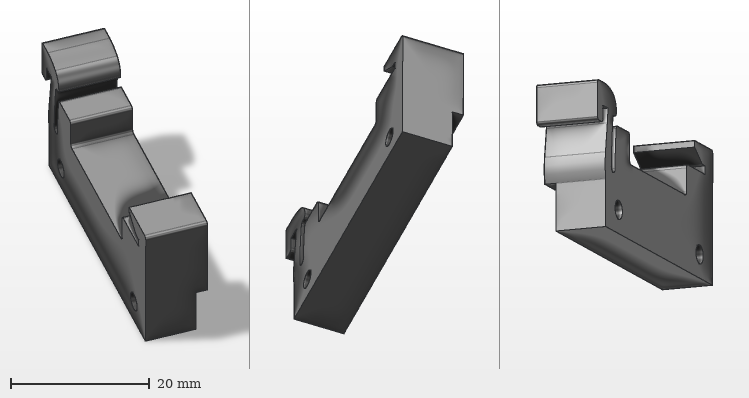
import cadquery as cq

length = 44.1
height = 21.15
width = 9.5
foot_left = 3.1
foot_right = 44.0
foot_width = 7.75
foot_height = 7.05

shoulder_z = 15.8
seat_z = 11.15
seat_left = 12.25
seat_right = 34.05
corner_radius = 0.55

jaw_top = 19.95
jaw_tip_x = 37.1
jaw_tip_z = 18.95
jaw_slope_end_x = 40.1
jaw_under_z = 17.05
jaw_root_x = 41.08

latch_flat_end = 2.55
nose_tip = (7.2, 17.9)
nose_tip_underside = (7.1, 17.4)
nose_front = (6.8, 19.32)
nose_crown_end = (5.75, 20.35)
nose_crown = (4.2, 20.9)
nose_end_x = 6.85
latch_under_z = 17.1
finger_bottom = 15.18
finger_right = 2.0
finger_roof = 17.7
finger_radius = 0.55
edge_radius = 0.45

arm_outer_top_x = 3.95
arm_outer_upper = (3.7, 15.45)
arm_outer_bend = (3.0, 11.05)
slot_left = 5.25
slot_right = 6.7
slot_center_z = 9.35
slot_radius = (slot_right - slot_left) / 2
slot_left_top_x = 5.9
slot_left_middle = (5.43, 12.8)
slot_right_top_x = 7.2
slot_right_middle = (6.8, 12.57)

hole_diameter = 2.8
hole_z = 3.55
hole_positions = [(8.07, hole_z), (39.05, hole_z)]


def extrude_back(sketch, depth):
    """Extrude an XZ outline from the front face toward +Y."""
    return sketch.extrude(-depth)


def round_edges(body, x, z, radius):
    """Round the width-wise edge at the given X and Z."""
    tolerance = 0.02
    box = cq.selectors.BoxSelector(
        (x - tolerance, -tolerance, z - tolerance),
        (x + tolerance, width + tolerance, z + tolerance),
    )
    return body.edges(box).fillet(radius)


def make_profile():
    outline = (
        cq.Workplane("XZ")
        .moveTo(foot_left, 0)
        .lineTo(foot_right, 0)
        .lineTo(length, jaw_top - corner_radius)
        .lineTo(length, jaw_top)
        .lineTo(jaw_tip_x, jaw_top)
        .lineTo(jaw_tip_x, jaw_tip_z)
        .lineTo(jaw_slope_end_x, jaw_under_z)
        .lineTo(jaw_root_x, jaw_under_z)
        .lineTo(jaw_root_x, shoulder_z)
        .lineTo(seat_right, shoulder_z)
        .lineTo(seat_right, seat_z)
        .lineTo(seat_left, seat_z)
        .lineTo(seat_left, shoulder_z)
        .lineTo(slot_right_top_x, shoulder_z)
        .threePointArc(slot_right_middle, (slot_right, slot_center_z))
        .threePointArc(
            (slot_left + slot_radius, slot_center_z - slot_radius),
            (slot_left, slot_center_z),
        )
        .threePointArc(slot_left_middle, (slot_left_top_x, latch_under_z))
        .lineTo(nose_end_x, latch_under_z)
        .threePointArc(nose_tip_underside, nose_tip)
        .threePointArc(nose_front, nose_crown_end)
        .threePointArc(nose_crown, (latch_flat_end, height))
        .lineTo(0, height)
        .lineTo(0, finger_bottom)
        .lineTo(finger_right, finger_bottom)
        .lineTo(finger_right, finger_roof)
        .lineTo(arm_outer_top_x, finger_roof)
        .lineTo(*arm_outer_upper)
        .lineTo(*arm_outer_bend)
        .tangentArcPoint((foot_left, foot_height), relative=False)
        .close()
    )
    return extrude_back(outline, width)


def round_corners(body):
    corners = [
        (length, jaw_top, corner_radius),
        (jaw_slope_end_x, jaw_under_z, corner_radius),
        (seat_right, shoulder_z, corner_radius),
        (seat_right, seat_z, corner_radius),
        (seat_left, seat_z, corner_radius),
        (seat_left, shoulder_z, corner_radius),
        (slot_right_top_x, shoulder_z, finger_radius),
        (slot_left_top_x, latch_under_z, finger_radius),
        (0, height, edge_radius),
        (0, finger_bottom, edge_radius),
        (finger_right, finger_bottom, finger_radius),
    ]
    for x, z, radius in corners:
        body = round_edges(body, x, z, radius)
    return body


def make_back_step():
    """Volume removed behind the narrower foot."""
    return cq.Workplane("XY").box(
        length, width - foot_width, foot_height, centered=False
    ).translate((0, foot_width, 0))


def make_holes():
    outline = cq.Workplane("XZ").pushPoints(hole_positions).circle(hole_diameter / 2)
    return extrude_back(outline, width)


result = round_corners(make_profile()).cut(make_back_step()).cut(make_holes())